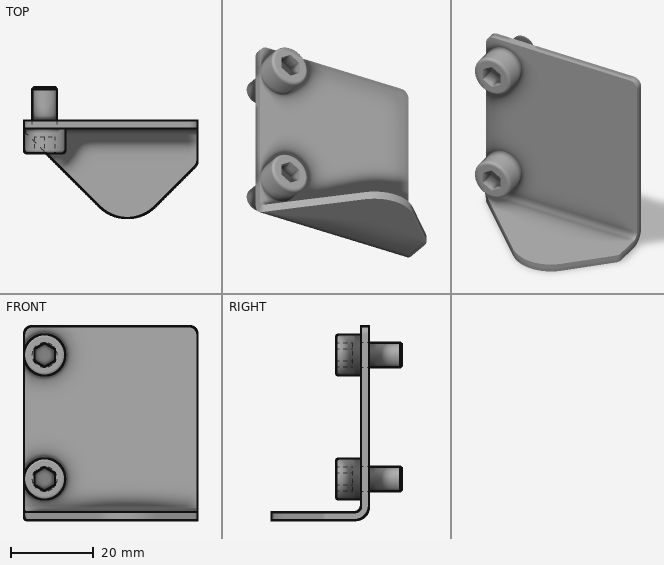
import cadquery as cq
import math

plate_width = 42.0
plate_height = 47.0
sheet = 2.0
bend_inner_radius = 1.5
bend_outer_radius = bend_inner_radius + sheet
bend_neutral_radius = 2.15
corner_radius = 2.0

nose_x = 25.0
nose_tip_y = -23.7
nose_radius = 9.5
edge_angle = math.radians(45)

screw_x = 5.0
screw_heights = (10.0, 40.0)
shank_diameter = 6.0
shank_reach = 8.0
shank_chamfer = 0.5
head_diameter = 10.0
head_height = 6.0
head_fillet = 0.75
socket_across_flats = 5.0
socket_depth = 4.0

flange_root_y = -bend_outer_radius
nose_center_y = nose_tip_y + nose_radius
tangent_offset = nose_radius * math.sin(edge_angle)
tangent_y = nose_center_y - nose_radius * math.cos(edge_angle)
left_tangent_x = nose_x - tangent_offset
right_tangent_x = nose_x + tangent_offset
root_left_x = left_tangent_x - (flange_root_y - tangent_y)
right_corner_y = tangent_y + (plate_width - right_tangent_x)

corner_run = corner_radius * math.sin(edge_angle)
corner_rise = corner_radius * (1 - math.cos(edge_angle))
corner_end = root_left_x - corner_rise
corner_start = corner_end + corner_run
corner_sections = 7
cutter_margin = 1.0


def make_upright():
    """Flat upright plate above the bend, with rounded top corners."""
    return (
        cq.Workplane("XY")
        .box(plate_width, sheet, plate_height - bend_outer_radius, centered=False)
        .translate((0, -sheet, bend_outer_radius))
        .edges("|Y and >Z")
        .fillet(corner_radius)
    )


def make_bend():
    """Quarter-round bend between the plate and the flange, across the full width."""
    reach = math.sqrt(0.5)
    center_y = -bend_outer_radius
    center_z = bend_outer_radius
    return (
        cq.Workplane("YZ")
        .moveTo(0, center_z)
        .threePointArc(
            (center_y + bend_outer_radius * reach, center_z - bend_outer_radius * reach),
            (center_y, 0),
        )
        .lineTo(center_y, sheet)
        .threePointArc(
            (center_y + bend_inner_radius * reach, center_z - bend_inner_radius * reach),
            (-sheet, center_z),
        )
        .close()
        .extrude(plate_width)
    )


def make_flange():
    """Flat flange beyond the bend, with a round nose and a rounded right corner."""
    outline = (
        cq.Workplane("XY")
        .moveTo(root_left_x, flange_root_y)
        .lineTo(left_tangent_x, tangent_y)
        .threePointArc((nose_x, nose_tip_y), (right_tangent_x, tangent_y))
        .lineTo(plate_width, right_corner_y)
        .lineTo(plate_width, flange_root_y)
        .close()
        .extrude(sheet)
    )
    right_corner = cq.selectors.NearestToPointSelector((plate_width, right_corner_y, sheet / 2))
    return outline.edges(right_corner).fillet(corner_radius)


def bend_section(distance, x_end):
    """Radial rectangle across the bend, a distance along the sheet before the flange root."""
    angle = distance / bend_neutral_radius
    points = []
    for x, radius in (
        (-cutter_margin, bend_inner_radius - cutter_margin),
        (x_end, bend_inner_radius - cutter_margin),
        (x_end, bend_outer_radius + cutter_margin),
        (-cutter_margin, bend_outer_radius + cutter_margin),
    ):
        y = -bend_outer_radius + radius * math.sin(angle)
        z = bend_outer_radius - radius * math.cos(angle)
        points.append(cq.Vector(x, y, z))
    return cq.Wire.makePolygon(points, close=True)


def make_corner_cutters():
    """Waste at the left end of the bend: the rounded corner, then the 45 degree edge."""
    rounded = []
    for index in range(corner_sections):
        turn = edge_angle * index / (corner_sections - 1)
        distance = corner_start - corner_radius * math.sin(turn)
        rounded.append(bend_section(distance, corner_radius * (1 - math.cos(turn))))
    straight = []
    for share in (0, 0.5, 1):
        distance = corner_end * (1 - share)
        straight.append(bend_section(distance, root_left_x - distance))
    return [cq.Solid.makeLoft(rounded), cq.Solid.makeLoft(straight)]


def make_bracket():
    """Bent sheet bracket with a plain hole for each screw."""
    bend = make_bend()
    for cutter in make_corner_cutters():
        bend = bend.cut(cq.Workplane(cutter))
    bracket = make_upright().union(bend).union(make_flange())
    for height in screw_heights:
        hole = cq.Workplane("XZ").center(screw_x, height).circle(shank_diameter / 2).extrude(sheet)
        bracket = bracket.cut(hole)
    return bracket


def make_screw(height):
    """Socket head screw along Y, its head seated on the front of the plate."""
    head = (
        cq.Workplane("XZ", origin=(screw_x, -sheet, height))
        .circle(head_diameter / 2)
        .extrude(head_height)
        .faces("<Y")
        .edges()
        .fillet(head_fillet)
    )
    shank = (
        cq.Workplane("XZ", origin=(screw_x, -sheet, height))
        .circle(shank_diameter / 2)
        .extrude(-(sheet + shank_reach))
        .faces(">Y")
        .chamfer(shank_chamfer)
    )
    socket_across_corners = socket_across_flats / math.cos(math.pi / 6)
    socket = (
        cq.Workplane("XZ", origin=(screw_x, -sheet - head_height, height))
        .transformed(rotate=(0, 0, 90))
        .polygon(6, socket_across_corners)
        .extrude(-socket_depth)
    )
    return head.union(shank).cut(socket)


bracket = make_bracket()
screws = [make_screw(height) for height in screw_heights]

result = cq.Compound.makeCompound([bracket.val(), *[screw.val() for screw in screws]])